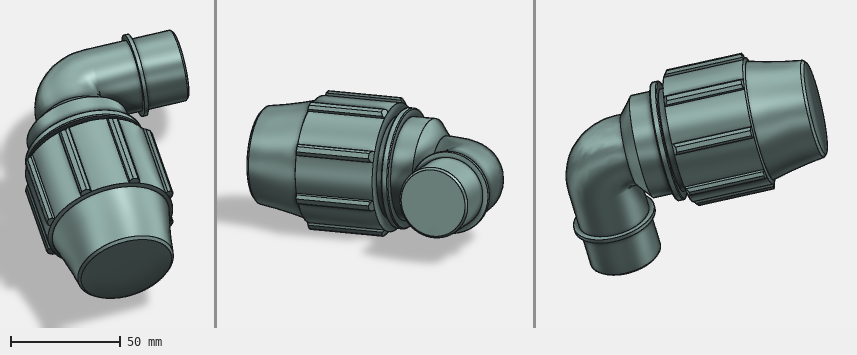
import cadquery as cq
import math

overall_length = 123.1
overall_depth = 85.1
overall_height = 60.2

tube_radius = 33.2 / 2
spigot_flange_radius = 38.3 / 2
spigot_flange_start = 32.9
spigot_flange_width = 1.8
spigot_end = overall_depth - overall_height / 2
spigot_chamfer = 1.0
bend_radius = 13.4

cone_start = 15.9
cone_end = 22.2
body_radius = 48.0 / 2
collar_start = 32.6
collar_end = 36.0
collar_radius = 55.7 / 2
collar_chamfer = 0.5

nut_start = 39.5
nut_end = 77.9
nut_radius = 29.7
nut_chamfer_length = 0.7
tail_start_radius = 55.7 / 2
tail_middle_radius = 24.9
tail_end_radius = 22.8
tail_chamfer = 1.2
tail_end = overall_length - spigot_flange_radius
tail_taper_end = tail_end - tail_chamfer

rib_count = 8
rib_pitch = 360.0 / rib_count
rib_width = 5.2
rib_edge_chamfer = 1.4
rib_top_width = rib_width - 2 * rib_edge_chamfer
rib_front_slope = 1.7
rib_back_slope = 0.6
rib_root_depth = 2.5
half_pitch = math.radians(rib_pitch / 2)
rib_top_radius = (overall_height / 2 - rib_top_width / 2 * math.sin(half_pitch)) / math.cos(half_pitch)


def make_spigot():
    tube = cq.Workplane("XZ").workplane(offset=-bend_radius).circle(tube_radius)
    tube = tube.extrude(bend_radius - spigot_end)
    tube = tube.faces(">Y").chamfer(spigot_chamfer)
    flange = cq.Workplane("XZ").workplane(offset=-spigot_flange_start).circle(spigot_flange_radius)
    return tube.union(flange.extrude(-spigot_flange_width))


def make_bend():
    half_chord = math.sqrt(tube_radius**2 - bend_radius**2)
    return (
        cq.Workplane("XZ", origin=(0, bend_radius, 0))
        .moveTo(bend_radius, -half_chord)
        .threePointArc((-tube_radius, 0), (bend_radius, half_chord))
        .close()
        .revolve(90, (bend_radius, -1.2, 0), (bend_radius, 1.2, 0))
    )


def make_body():
    """Revolve the neck, cone, collar, nut and tail about X."""
    tail_middle = (nut_end + tail_taper_end) / 2
    return (
        cq.Workplane("XY")
        .moveTo(bend_radius, 0)
        .lineTo(bend_radius, tube_radius)
        .lineTo(cone_start, tube_radius)
        .lineTo(cone_end, body_radius)
        .lineTo(collar_start, body_radius)
        .lineTo(collar_start, collar_radius - collar_chamfer)
        .lineTo(collar_start + collar_chamfer, collar_radius)
        .lineTo(collar_end - collar_chamfer, collar_radius)
        .lineTo(collar_end, collar_radius - collar_chamfer)
        .lineTo(collar_end, body_radius)
        .lineTo(nut_start, body_radius)
        .lineTo(nut_start, nut_radius)
        .lineTo(nut_end - nut_chamfer_length, nut_radius)
        .lineTo(nut_end, tail_start_radius)
        .threePointArc((tail_middle, tail_middle_radius), (tail_taper_end, tail_end_radius))
        .lineTo(tail_end, tail_end_radius - tail_chamfer)
        .lineTo(tail_end, 0)
        .close()
        .revolve(360, (0, 0, 0), (1, 0, 0))
    )


def make_rib():
    """Make one rib on the +Z side, with sloped ends and chamfered long edges."""
    rib_end = nut_end - nut_chamfer_length
    root_radius = nut_radius - rib_root_depth
    lengthwise = (
        cq.Workplane("XZ")
        .moveTo(nut_start, root_radius)
        .lineTo(nut_start, nut_radius)
        .lineTo(nut_start + rib_front_slope, rib_top_radius)
        .lineTo(rib_end - rib_back_slope, rib_top_radius)
        .lineTo(rib_end, nut_radius)
        .lineTo(rib_end, root_radius)
        .close()
        .extrude(rib_width / 2, both=True)
    )
    shoulder_radius = rib_top_radius - rib_edge_chamfer
    section = (
        cq.Workplane("YZ", origin=(nut_start, 0, 0))
        .moveTo(-rib_width / 2, root_radius)
        .lineTo(-rib_width / 2, shoulder_radius)
        .lineTo(-rib_top_width / 2, rib_top_radius)
        .lineTo(rib_top_width / 2, rib_top_radius)
        .lineTo(rib_width / 2, shoulder_radius)
        .lineTo(rib_width / 2, root_radius)
        .close()
        .extrude(rib_end - nut_start)
    )
    return lengthwise.intersect(section)


result = make_body().union(make_spigot()).union(make_bend())
rib = make_rib()
for index in range(rib_count):
    angle = (index + 0.5) * rib_pitch
    result = result.union(rib.rotate((0, 0, 0), (1, 0, 0), angle))